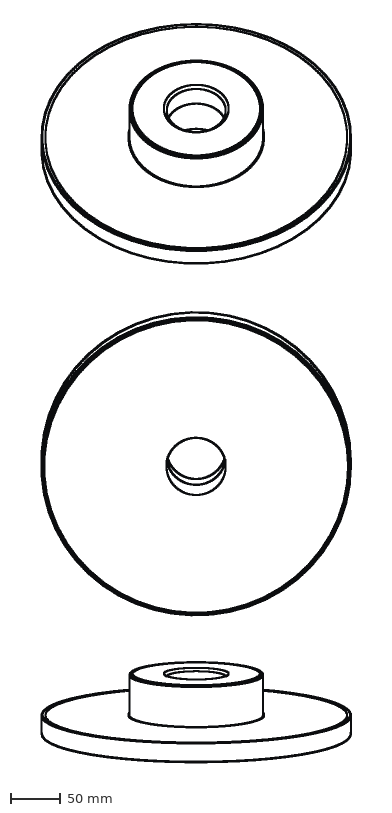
import cadquery as cq

cover_diameter = 315.0
cover_height = 20.5
cover_skin = 0.6
cover_edge_chamfer = 0.8
cover_opening_diameter = 138.0

flange_diameter = 309.24
flange_chamfer = 1.0
flange_height = cover_height - cover_skin

barrel_diameter = 136.0
hub_height = 63.0
raised_face_diameter = 130.02
raised_face_height = 0.4
shoulder_height = hub_height - raised_face_height
shoulder_chamfer = 1.0

bore_diameter = 60.02
bore_chamfer = 3.0
relief_diameter = 60.3
relief_height = 38.0


def cylinder(diameter, height):
    """Cylinder on the Z axis, standing on the base plane."""
    return cq.Workplane("XY").circle(diameter / 2).extrude(height)


def make_cover():
    """Disc with chamfered rims, pocketed from below and open around the barrel."""
    cover = cylinder(cover_diameter, cover_height)
    cover = cover.faces("<Z or >Z").edges().chamfer(cover_edge_chamfer)
    opening = cylinder(cover_opening_diameter, cover_height)
    return cover.cut(make_flange()).cut(opening)


def make_flange():
    """Flange disc with a chamfered top rim; it also shapes the pocket of the cover."""
    return cylinder(flange_diameter, flange_height).faces(">Z").edges().chamfer(flange_chamfer)


def make_hub():
    """Flange, barrel and raised face in one piece, with a stepped through bore."""
    barrel = cylinder(barrel_diameter, shoulder_height).faces(">Z").edges().chamfer(shoulder_chamfer)
    raised_face = cylinder(raised_face_diameter, hub_height)
    hub = make_flange().union(barrel).union(raised_face)

    bore = cylinder(bore_diameter, hub_height)
    relief = cylinder(relief_diameter, relief_height)
    hub = hub.cut(bore).cut(relief)
    bore_rim = hub.faces(">Z").edges(cq.selectors.RadiusNthSelector(0))
    return bore_rim.chamfer(bore_chamfer)


cover = make_cover()
hub = make_hub()
result = cq.Compound.makeCompound([cover.val(), hub.val()])